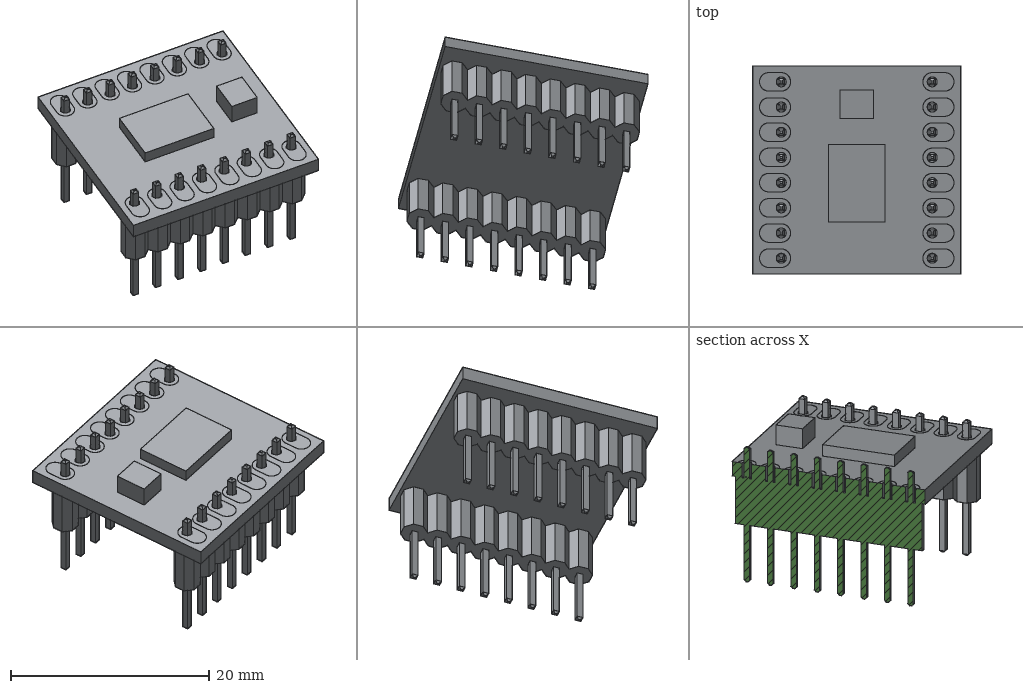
import cadquery as cq

BOARD_SIDE = 21.0
BOARD_THICKNESS = 1.6

PINS_PER_ROW = 8
PIN_PITCH = 2.55
ROW_SPACING = 15.22
PIN_WIDTH = 0.63
PIN_TIP_CHAMFER = 0.2
PIN_TOP = 1.78
PIN_LENGTH = 14.62
PIN_HOLE_DIAMETER = 1.0

HOUSING_WIDTH = PIN_PITCH
HOUSING_HEIGHT = 5.1
HOUSING_CHAMFER = HOUSING_WIDTH * (1 - 0.5 ** 0.5)

PAD_WIDTH = 1.87
PAD_LENGTH = 3.13
PAD_HEIGHT = 0.01

CHIP_SIZE = (5.67, 7.8, 1.24)
CHIP_CENTER_Y = -1.32
BLOCK_SIZE = (3.34, 2.88, 2.15)
BLOCK_CENTER_Y = 6.65


def pin_positions():
    """Centres of all pins, left row first, each row centred on Y = 0."""
    row_start = -(PINS_PER_ROW - 1) * PIN_PITCH / 2
    return [
        (side * ROW_SPACING / 2, row_start + i * PIN_PITCH)
        for side in (-1, 1)
        for i in range(PINS_PER_ROW)
    ]


def box_from(size, center_y=0.0, bottom=0.0):
    """Box centred on X = 0 and standing on the given height."""
    return (
        cq.Workplane("XY")
        .box(*size, centered=(True, True, False))
        .translate((0, center_y, bottom))
    )


def make_pads():
    """Rounded pads whose inner ends are concentric with the pins."""
    offset = (PAD_LENGTH - PAD_WIDTH) / 2
    centers = [(x + (offset if x > 0 else -offset), y) for x, y in pin_positions()]
    return (
        cq.Workplane("XY")
        .pushPoints(centers)
        .slot2D(PAD_LENGTH, PAD_WIDTH)
        .extrude(PAD_HEIGHT)
    )


def make_pin_holes():
    """Round cutters through the board and the pads."""
    return (
        cq.Workplane("XY", origin=(0, 0, -BOARD_THICKNESS))
        .pushPoints(pin_positions())
        .circle(PIN_HOLE_DIAMETER / 2)
        .extrude(BOARD_THICKNESS + PAD_HEIGHT)
    )


def make_housing():
    """Octagonal insulator of one pin, hanging under the board."""
    bottom = -BOARD_THICKNESS - HOUSING_HEIGHT
    block = box_from((HOUSING_WIDTH, HOUSING_WIDTH, HOUSING_HEIGHT), bottom=bottom)
    return block.edges("|Z").chamfer(HOUSING_CHAMFER)


def make_pin():
    """Square pin with both tips tapered."""
    bottom = PIN_TOP - PIN_LENGTH
    pin = box_from((PIN_WIDTH, PIN_WIDTH, PIN_LENGTH), bottom=bottom)
    return pin.faces("<Z or >Z").chamfer(PIN_TIP_CHAMFER)


board = box_from((BOARD_SIDE, BOARD_SIDE, BOARD_THICKNESS), bottom=-BOARD_THICKNESS)
board = board.union(make_pads()).cut(make_pin_holes())
board = board.union(box_from(CHIP_SIZE, CHIP_CENTER_Y))
board = board.union(box_from(BLOCK_SIZE, BLOCK_CENTER_Y))

result = board
header_unit = make_housing().union(make_pin())
for x, y in pin_positions():
    result = result.union(header_unit.translate((x, y, 0)))